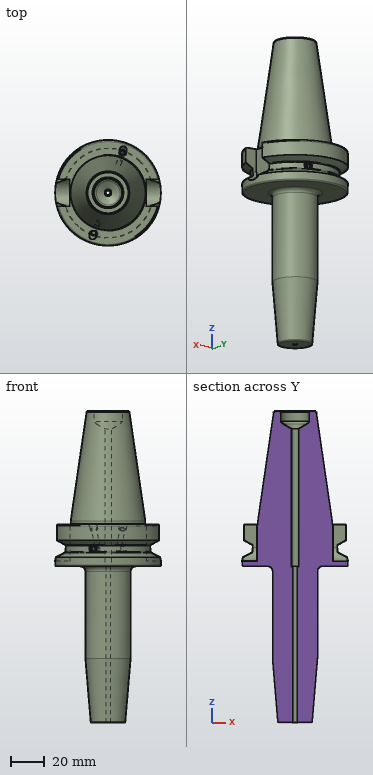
import cadquery as cq
import math

total_length = 185.4
top_z = 65.5
bottom_z = top_z - total_length
flange_top_z = -2.0
flange_bottom_z = -27.0

gauge_radius = 22.2
taper_slope = 7 / 48
taper_top_chamfer = 0.7
collar_fillet = 0.4

flange_radius = 31.5
flange_edge_fillet = 1.0
groove_radius = 26.5
groove_center_z = -16.5
groove_floor_width = 4.3
groove_upper_z = groove_center_z + groove_floor_width / 2
groove_lower_z = groove_center_z - groove_floor_width / 2
groove_flank_angle = math.radians(30)
groove_flank_height = (flange_radius - groove_radius) * math.tan(groove_flank_angle)
groove_corner_fillet = 0.5

shank_radius = 13.5
shank_fillet = 2.8
nose_length = 38.4
nose_radius = 10.4
nose_fillet = 0.7

bore_chamfer = 1.0
bore_radius = 8.3
bore_depth = 6.3
seat_radius = 7.0
seat_depth = bore_depth + (bore_radius - seat_radius)
passage_radius = 2.0
passage_end_z = flange_bottom_z
through_radius = 1.3
drill_tip_half_angle = math.radians(59)

slot_width = 16.1
slot_floor_x = 22.6
slot_end_z = -23.7

inclined_mouth_radius = 2.2
inclined_mouth_depth = 3.2
inclined_mouth_center = 26.7
radial_mouth_radius = 2.5
radial_mouth_depth = 1.9
channel_radius = 1.5
channel_tilt = math.radians(30)
channel_angles = (70.4, 250.4)


def taper_radius(z):
    return gauge_radius - taper_slope * z


def make_body():
    """Solid of revolution: taper, collar, grooved flange, shank and nose."""
    taper_end_z = top_z - taper_top_chamfer
    fillet_start_z = flange_bottom_z - shank_fillet
    corner_tangent = groove_corner_fillet * math.tan((math.pi / 2 - groove_flank_angle) / 2)
    corner_outer_radius = groove_radius + corner_tangent * math.cos(groove_flank_angle)
    corner_rise = corner_tangent * math.sin(groove_flank_angle)
    profile = (
        cq.Workplane("XZ")
        .moveTo(0, top_z)
        .lineTo(taper_radius(taper_end_z) - taper_top_chamfer, top_z)
        .lineTo(taper_radius(taper_end_z), taper_end_z)
        .lineTo(gauge_radius, 0)
        .lineTo(gauge_radius, flange_top_z + collar_fillet)
        .radiusArc((gauge_radius + collar_fillet, flange_top_z), -collar_fillet)
        .lineTo(flange_radius - flange_edge_fillet, flange_top_z)
        .radiusArc((flange_radius, flange_top_z - flange_edge_fillet), flange_edge_fillet)
        .lineTo(flange_radius, groove_upper_z + groove_flank_height)
        .lineTo(corner_outer_radius, groove_upper_z + corner_rise)
        .radiusArc((groove_radius, groove_upper_z - corner_tangent), -groove_corner_fillet)
        .lineTo(groove_radius, groove_lower_z + corner_tangent)
        .radiusArc((corner_outer_radius, groove_lower_z - corner_rise), -groove_corner_fillet)
        .lineTo(flange_radius, groove_lower_z - groove_flank_height)
        .lineTo(flange_radius, flange_bottom_z + flange_edge_fillet)
        .radiusArc((flange_radius - flange_edge_fillet, flange_bottom_z), flange_edge_fillet)
        .lineTo(shank_radius + shank_fillet, flange_bottom_z)
        .radiusArc((shank_radius, fillet_start_z), -shank_fillet)
        .lineTo(shank_radius, bottom_z + nose_length)
        .lineTo(nose_radius, bottom_z + nose_fillet)
        .radiusArc((nose_radius - nose_fillet, bottom_z), nose_fillet)
        .lineTo(0, bottom_z)
        .close()
    )
    return profile.revolve(360, (0, 0, 0), (0, 1, 0))


def make_bore():
    """Stepped bore from the top, with a drill-point floor and a through passage."""
    seat_z = top_z - seat_depth
    cone_depth = (seat_radius - passage_radius) / math.tan(drill_tip_half_angle)
    profile = (
        cq.Workplane("XZ")
        .moveTo(0, top_z)
        .lineTo(bore_radius + bore_chamfer, top_z)
        .lineTo(bore_radius, top_z - bore_chamfer)
        .lineTo(bore_radius, top_z - bore_depth)
        .lineTo(seat_radius, seat_z)
        .lineTo(passage_radius, seat_z - cone_depth)
        .lineTo(passage_radius, passage_end_z)
        .lineTo(through_radius, passage_end_z)
        .lineTo(through_radius, bottom_z)
        .lineTo(0, bottom_z)
        .close()
    )
    return profile.revolve(360, (0, 0, 0), (0, 1, 0))


def make_drive_slot(side):
    """Round-ended slot cut radially into the flange; side is -1 or +1 along X."""
    half_width = slot_width / 2
    round_center_z = slot_end_z + half_width
    return (
        cq.Workplane("YZ", origin=(side * slot_floor_x, 0, 0))
        .moveTo(-half_width, 0)
        .lineTo(-half_width, round_center_z)
        .threePointArc((0, slot_end_z), (half_width, round_center_z))
        .lineTo(half_width, 0)
        .close()
        .extrude(side * flange_radius)
    )


def make_cylinder(radius, length, base, direction):
    return cq.Workplane(cq.Solid.makeCylinder(radius, length, base, direction))


def make_coolant_channel(angle):
    """Inclined hole from the flange face and the radial groove hole that it meets."""
    outward = cq.Vector(1, 0, 0)
    inclined_axis = cq.Vector(math.sin(channel_tilt), 0, math.cos(channel_tilt))
    meeting_drop = flange_top_z - groove_center_z
    meeting_radius = inclined_mouth_center - meeting_drop * math.tan(channel_tilt)
    meeting_point = cq.Vector(meeting_radius, 0, groove_center_z)
    inclined_length = meeting_drop / math.cos(channel_tilt)
    radial_length = groove_radius - meeting_radius

    overrun = flange_radius - groove_radius
    inclined_mouth_base = meeting_point + inclined_axis * (inclined_length - inclined_mouth_depth)
    radial_mouth_base = meeting_point + outward * (radial_length - radial_mouth_depth)
    channel = (
        make_cylinder(channel_radius, inclined_length, meeting_point, inclined_axis)
        .union(make_cylinder(channel_radius, radial_length, meeting_point, outward))
        .union(
            make_cylinder(
                inclined_mouth_radius, inclined_mouth_depth + overrun, inclined_mouth_base, inclined_axis
            )
        )
        .union(make_cylinder(radial_mouth_radius, radial_mouth_depth + overrun, radial_mouth_base, outward))
    )
    return channel.rotate((0, 0, 0), (0, 0, 1), angle)


result = make_body().cut(make_bore())
for slot_side in (-1, 1):
    result = result.cut(make_drive_slot(slot_side))
for channel_angle in channel_angles:
    result = result.cut(make_coolant_channel(channel_angle))